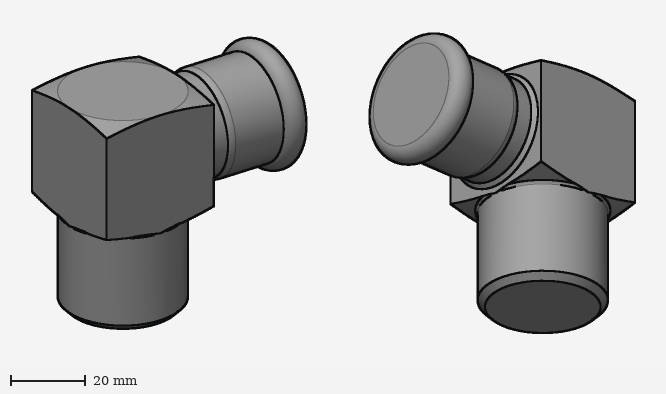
import cadquery as cq
import math

overall_length = 66.5
body_width = 35.0
body_radius = body_width / 2
body_bottom = 28.05
body_top = 63.5
axis_y = -(overall_length / 2 - body_radius)
body_back_y = axis_y + body_radius
socket_end_y = overall_length / 2
socket_axis_z = 46.5

top_cone_angle = 15.0
bottom_cone_angle = 18.4
root_fillet = 0.9

leg_chamfer = 2.0
leg_end_radius = body_radius - leg_chamfer

bead_outer_radius = 36.7 / 2
bead_width = 7.6
bead_radius = bead_width / 2
socket_radius = 31.4 / 2
neck_radius = 30.0 / 2
flare_radius = 32.5 / 2
flare_length = 1.25
neck_end_from_body = 6.4
shoulder_length = 2.05


def corner_drop(angle):
    """Height of a cone between the inscribed circle and the cube corner."""
    return body_radius * (math.sqrt(2) - 1) * math.tan(math.radians(angle))


def make_cube():
    """Square block trimmed by shallow cones at its top and bottom corners."""
    height = body_top - body_bottom
    block = cq.Workplane("XY").box(body_width, body_width, height, centered=(True, True, False))
    corner_radius = body_radius * math.sqrt(2)
    angle = math.radians(bottom_cone_angle)
    tangent_length = root_fillet * math.tan((math.pi / 2 - angle) / 2)
    fillet_end = (
        body_radius + tangent_length * math.cos(angle),
        tangent_length * (1 + math.sin(angle)),
    )
    trim = (
        cq.Workplane("XZ")
        .moveTo(0, 0)
        .lineTo(body_radius, 0)
        .radiusArc(fillet_end, root_fillet)
        .lineTo(corner_radius, tangent_length + corner_drop(bottom_cone_angle))
        .lineTo(corner_radius, height - corner_drop(top_cone_angle))
        .lineTo(body_radius, height)
        .lineTo(0, height)
        .close()
        .revolve(360, (0, 0, 0), (0, 1, 0))
    )
    return block.intersect(trim).translate((0, axis_y, body_bottom))


def make_leg():
    """Vertical cylinder with a chamfered lower end."""
    return (
        cq.Workplane("XZ")
        .moveTo(0, 0)
        .lineTo(leg_end_radius, 0)
        .lineTo(body_radius, leg_chamfer)
        .lineTo(body_radius, body_bottom)
        .lineTo(0, body_bottom)
        .close()
        .revolve(360, (0, 0, 0), (0, 1, 0))
        .translate((0, axis_y, 0))
    )


def make_socket():
    """Press socket: flared neck, rounded shoulder, barrel and end bead."""
    neck_end_y = body_back_y + neck_end_from_body
    shoulder_end_y = neck_end_y + shoulder_length
    bead_center_y = socket_end_y - bead_radius
    bead_center_radius = bead_outer_radius - bead_radius
    bead_start_y = bead_center_y - math.sqrt(bead_radius**2 - (socket_radius - bead_center_radius) ** 2)
    step = socket_radius - neck_radius
    shoulder_radius = (shoulder_length**2 + step**2) / (2 * step)
    return (
        cq.Workplane("XY")
        .moveTo(0, body_back_y)
        .lineTo(flare_radius, body_back_y)
        .lineTo(neck_radius, body_back_y + flare_length)
        .lineTo(neck_radius, neck_end_y)
        .radiusArc((socket_radius, shoulder_end_y), -shoulder_radius)
        .lineTo(socket_radius, bead_start_y)
        .threePointArc((bead_outer_radius, bead_center_y), (bead_center_radius, socket_end_y))
        .lineTo(0, socket_end_y)
        .close()
        .revolve(360, (0, 0, 0), (0, 1, 0))
        .translate((0, 0, socket_axis_z))
    )


result = make_cube().union(make_leg()).union(make_socket())